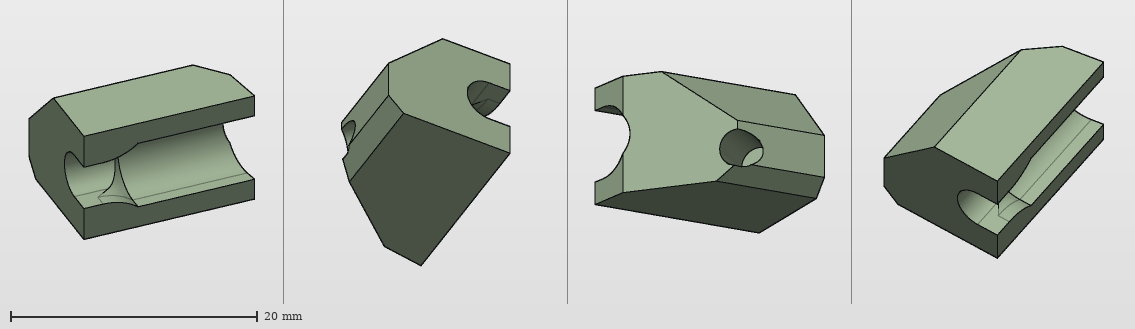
import cadquery as cq
import math

width = 11.23
length = 15.12
height = 10.0

top_chamfer = 5.0
bottom_chamfer = 1.39
back_kink_x = width - 3.7
back_kink_y = length - 0.57
left_side_length = 8.01

slot_z = height / 2
slot_radius = 2.003
slot_center_x = width - 1.95
mouth_radius = 3.07
mouth_center_x = width - 1.1
flare_start_y = 1.71
flare_arc_radius = 5.0

hole_diameter = 3.1
hole_depth = 5.0
hole_z = 2.7

overcut = 0.75


def make_block():
    """Intersect the end profile with the plan outline."""
    end_profile = (
        cq.Workplane("XZ")
        .moveTo(bottom_chamfer, 0)
        .lineTo(width, 0)
        .lineTo(width, height)
        .lineTo(top_chamfer, height)
        .lineTo(0, height - top_chamfer)
        .lineTo(0, bottom_chamfer)
        .close()
        .extrude(-length)
    )
    plan = (
        cq.Workplane("XY")
        .lineTo(width, 0)
        .lineTo(width, length)
        .lineTo(back_kink_x, back_kink_y)
        .lineTo(0, left_side_length)
        .close()
        .extrude(height)
    )
    return end_profile.intersect(plan)


def make_slot():
    """Constant round-ended slot through the full length."""
    open_x = width + overcut
    return (
        cq.Workplane("XZ")
        .moveTo(open_x, slot_z - slot_radius)
        .lineTo(slot_center_x, slot_z - slot_radius)
        .threePointArc(
            (slot_center_x - slot_radius, slot_z),
            (slot_center_x, slot_z + slot_radius),
        )
        .lineTo(open_x, slot_z + slot_radius)
        .close()
        .extrude(-length)
    )


def flare_half_profile():
    """Half section in the YZ plane at the mouth center, bounded by its axis."""
    step = mouth_radius - slot_radius
    arc_angle = math.acos(1 - step / flare_arc_radius)
    flare_end_y = flare_start_y + flare_arc_radius * math.sin(arc_angle)
    middle_y = flare_start_y + flare_arc_radius * math.sin(arc_angle / 2)
    middle_radius = slot_radius + flare_arc_radius * (1 - math.cos(arc_angle / 2))
    return (
        cq.Workplane("YZ", origin=(mouth_center_x, 0, slot_z))
        .moveTo(flare_start_y, 0)
        .lineTo(flare_start_y, slot_radius)
        .threePointArc((middle_y, middle_radius), (flare_end_y, mouth_radius))
        .lineTo(length, mouth_radius)
        .lineTo(length, 0)
        .close()
    )


def make_flare():
    """Bell-shaped round end, swept straight out through the slotted side."""
    bell = flare_half_profile().revolve(360, (0, 0, 0), (1, 0, 0))
    upper = flare_half_profile().extrude(width + overcut - mouth_center_x)
    lower = upper.mirror("XY", (0, 0, slot_z))
    return bell.union(upper).union(lower)


def make_hole():
    """Cylinder centered on the corner between left side and sloped back."""
    run_x = back_kink_x
    run_y = back_kink_y - left_side_length
    inward = cq.Vector(run_y, -run_x, 0).normalized()
    start = cq.Vector(0, left_side_length, hole_z) - inward * hole_diameter
    return cq.Workplane(
        cq.Solid.makeCylinder(hole_diameter / 2, hole_depth + hole_diameter, start, inward)
    )


result = make_block().cut(make_slot()).cut(make_flare()).cut(make_hole())